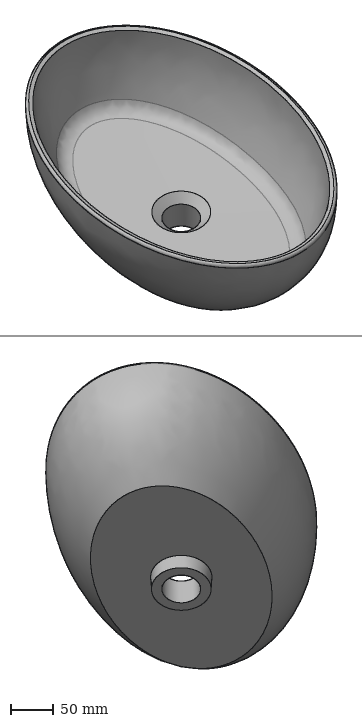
import cadquery as cq
import math

LENGTH = 454.74
WIDTH = 310.0
HEIGHT = 160.0

SPIGOT_LENGTH = 20.0
FOOT_LENGTH = 311.0
FOOT_WIDTH = 207.0
OUTER_CURVE = 2.15
RIM_ROUND = 4.0
RIM_LAND = 0.04
WIDEST_Z = HEIGHT - RIM_ROUND

RIM_WIDTH = 9.0
LIP_DROP = 2.0
LIP_Z = HEIGHT - LIP_DROP

WALL_END_Z = 40.0
WALL_END_LENGTH = 353.0
WALL_END_WIDTH = 198.0
INNER_CURVE = 1.6

FLOOR_DRAIN_Z = 47.0
FLOOR_SLOPE_DEGREES = 4.0
FLOOR_FILLET = 23.0

BORE_DIAMETER = 46.0
MOUTH_DIAMETER = 70.0
MOUTH_DEPTH = 10.0
SPIGOT_TOP_DIAMETER = 73.0
SPIGOT_END_DIAMETER = 71.0

SECTION_COUNT = 7


def oval(length, width, z):
    """Elliptical wire centred on the Z axis."""
    return cq.Wire.makeEllipse(
        length / 2, width / 2, cq.Vector(0, 0, z), cq.Vector(0, 0, 1), cq.Vector(1, 0, 0)
    )


def curved_oval_wall(top_z, top_length, top_width, end_z, end_length, end_width, curve):
    """Solid lofted through ellipses that shrink with depth by a power law."""
    sections = []
    for step in range(SECTION_COUNT):
        depth_share = step / (SECTION_COUNT - 1)
        shrink = depth_share ** curve
        length = top_length + (end_length - top_length) * shrink
        width = top_width + (end_width - top_width) * shrink
        z = top_z + (end_z - top_z) * depth_share
        sections.append(oval(length, width, z))
    return cq.Workplane(cq.Solid.makeLoft(sections))


def cone(bottom_diameter, top_diameter, bottom_z, height):
    """Upright truncated cone on the Z axis."""
    return cq.Workplane(
        cq.Solid.makeCone(bottom_diameter / 2, top_diameter / 2, height, cq.Vector(0, 0, bottom_z))
    )


def outer_shell():
    """Filled outside shape of the basin with its rounded top edge."""
    shell = curved_oval_wall(
        WIDEST_Z, LENGTH, WIDTH, SPIGOT_LENGTH, FOOT_LENGTH, FOOT_WIDTH, OUTER_CURVE
    )
    rim = cq.Workplane("XY", origin=(0, 0, WIDEST_Z)).ellipse(LENGTH / 2, WIDTH / 2).extrude(RIM_ROUND)
    return shell.union(rim.faces(">Z").edges().fillet(RIM_ROUND - RIM_LAND))


def space_above_floor():
    """Everything above the sloping floor, as far out as the basin reaches."""
    floor_rise = (LENGTH - MOUTH_DIAMETER) / 2 * math.tan(math.radians(FLOOR_SLOPE_DEGREES))
    slope_part = cone(MOUTH_DIAMETER, LENGTH, FLOOR_DRAIN_Z, floor_rise)
    floor_edge_z = FLOOR_DRAIN_Z + floor_rise
    open_part = (
        cq.Workplane("XY", origin=(0, 0, floor_edge_z)).circle(LENGTH / 2).extrude(HEIGHT - floor_edge_z)
    )
    return slope_part.union(open_part)


def bowl_cavity():
    """Inside of the bowl, with the floor blended into the wall."""
    lip_length = LENGTH - 2 * RIM_WIDTH
    lip_width = WIDTH - 2 * RIM_WIDTH
    wall = curved_oval_wall(
        LIP_Z, lip_length, lip_width, WALL_END_Z, WALL_END_LENGTH, WALL_END_WIDTH, INNER_CURVE
    )
    bowl = wall.intersect(space_above_floor())
    margin = 1.0
    floor_edge = cq.selectors.BoxSelector(
        (-LENGTH, -WIDTH, FLOOR_DRAIN_Z + margin), (LENGTH, WIDTH, LIP_Z - margin), boundingbox=True
    )
    return bowl.edges(floor_edge).fillet(FLOOR_FILLET)


def rim_slope():
    """Shallow flared space that makes the rim top fall inward."""
    lip = oval(LENGTH - 2 * RIM_WIDTH, WIDTH - 2 * RIM_WIDTH, LIP_Z)
    rim_crest = oval(LENGTH - 2 * RIM_ROUND, WIDTH - 2 * RIM_ROUND, HEIGHT)
    return cq.Workplane(cq.Solid.makeLoft([lip, rim_crest], True))


def drain_opening():
    """Conical mouth and bore that pass through floor and spigot."""
    mouth = cone(BORE_DIAMETER, MOUTH_DIAMETER, FLOOR_DRAIN_Z - MOUTH_DEPTH, MOUTH_DEPTH)
    bore = cq.Workplane("XY").circle(BORE_DIAMETER / 2).extrude(FLOOR_DRAIN_Z)
    return mouth.union(bore)


spigot = cone(SPIGOT_END_DIAMETER, SPIGOT_TOP_DIAMETER, 0, SPIGOT_LENGTH)
basin = outer_shell().union(spigot)
result = basin.cut(bowl_cavity()).cut(rim_slope()).cut(drain_opening())